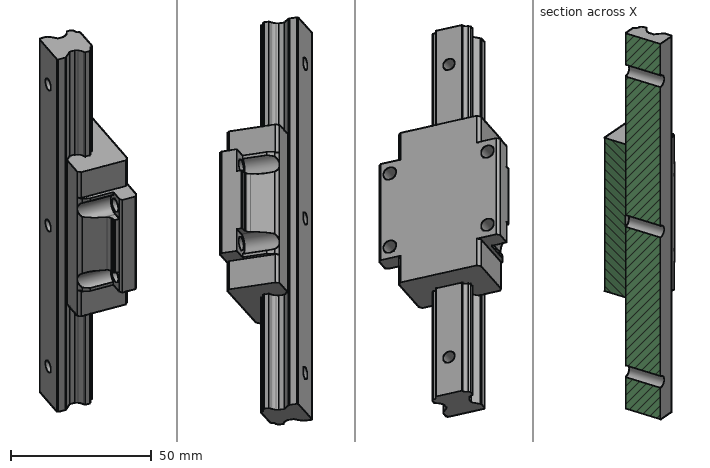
import cadquery as cq
import math

RAIL_LENGTH = 150.0
RAIL_HALF_WIDTH = 7.5
RAIL_HEIGHT = 15.0
RAIL_BASE_CHAMFER = 0.5
RAIL_HOLE_DIAMETER = 4.5
RAIL_HOLE_PITCH = 60.0
RAIL_HOLE_COUNT = 3

BASE_FLANK_TOP = 3.2
BASE_EDGE_BREAK_WIDTH = 0.3
BASE_EDGE_BREAK_HEIGHT = 0.6
WAIST_HALF_WIDTH = 4.8
WAIST_BOTTOM = 6.2
WAIST_TOP = 8.2
LOWER_GROOVE_START = (5.2, 9.2)
LOWER_GROOVE_MIDDLE = (5.8, 9.9)
LOWER_GROOVE_END = (6.8, 10.5)
HEAD_FLANK_BOTTOM = 11.0
HEAD_FLANK_TOP = 12.8
HEAD_TOP_HALF_WIDTH = 5.2
UPPER_GROOVE_START = (6.8, 13.5)
UPPER_GROOVE_MIDDLE = (5.7, 13.8)
UPPER_GROOVE_END = (HEAD_TOP_HALF_WIDTH, 14.5)
HEAD_TOP_CHAMFER = 0.3

CARRIAGE_LENGTH = 61.4
CARRIAGE_TOP = 24.0
BLOCK_LENGTH = 39.5
CARRIAGE_BOTTOM = 4.2
BLOCK_BOTTOM_HALF_WIDTH = 15.3
WEB_BOTTOM = (16.6, 5.4)
WEB_FILLET_RADIUS = 1.6

CAP_HALF_WIDTH = 32.0 / 2
CAP_TOP_CHAMFER = 1.2
CAP_BOTTOM_CHAMFER = 1.2
CAP_BOTTOM_CHAMFER_WIDTH = 0.9

FLANGE_HALF_WIDTH = 47.0 / 2
FLANGE_TOP_CHAMFER = 1.0
FLANGE_UNDERSIDE = 15.2
UNDERSIDE_STEP = 0.3
UNDERSIDE_STEP_X = 21.0
FLANGE_EDGE_CHAMFER = 0.5
BOSS_FACE = 17.2
RELIEF_HALF_WIDTH = 22.5
RELIEF_CHAMFER_HEIGHT = 0.8

BOLT_DIAMETER = 5.0
BOLT_SPACING_X = 38.0
BOLT_SPACING_Z = 30.0
SEAT_RADIUS = 3.8
SEAT_OUTER_WALL_X = 17.5


def mirrored(points):
    return [(-x, y) for x, y in points]


def extrude_centred(sketch, length):
    """Extrude an XY sketch symmetrically about Z = 0."""
    return sketch.extrude(length / 2, both=True)


def box_between(x_range, y_range, z_range):
    sizes = [max(r) - min(r) for r in (x_range, y_range, z_range)]
    corner = [min(r) for r in (x_range, y_range, z_range)]
    return cq.Workplane("XY").box(*sizes, centered=False).translate(tuple(corner))


def cylinder_along_y(x, z, radius, y_start, y_end):
    solid = cq.Solid.makeCylinder(
        radius, y_end - y_start, cq.Vector(x, y_start, z), cq.Vector(0, 1, 0)
    )
    return cq.Workplane(solid)


def rail_bar():
    """Plain rail bar without its bolt holes."""
    base = RAIL_HALF_WIDTH - RAIL_BASE_CHAMFER
    half = (
        cq.Workplane("XY")
        .moveTo(0, 0)
        .lineTo(base, 0)
        .lineTo(RAIL_HALF_WIDTH, RAIL_BASE_CHAMFER)
        .lineTo(RAIL_HALF_WIDTH, BASE_FLANK_TOP)
        .lineTo(RAIL_HALF_WIDTH - BASE_EDGE_BREAK_WIDTH, BASE_FLANK_TOP + BASE_EDGE_BREAK_HEIGHT)
        .lineTo(WAIST_HALF_WIDTH, WAIST_BOTTOM)
        .lineTo(WAIST_HALF_WIDTH, WAIST_TOP)
        .lineTo(*LOWER_GROOVE_START)
        .threePointArc(LOWER_GROOVE_MIDDLE, LOWER_GROOVE_END)
        .lineTo(RAIL_HALF_WIDTH, HEAD_FLANK_BOTTOM)
        .lineTo(RAIL_HALF_WIDTH, HEAD_FLANK_TOP)
        .lineTo(*UPPER_GROOVE_START)
        .threePointArc(UPPER_GROOVE_MIDDLE, UPPER_GROOVE_END)
        .lineTo(HEAD_TOP_HALF_WIDTH, RAIL_HEIGHT - HEAD_TOP_CHAMFER)
        .lineTo(HEAD_TOP_HALF_WIDTH - HEAD_TOP_CHAMFER, RAIL_HEIGHT)
        .lineTo(0, RAIL_HEIGHT)
        .close()
    )
    right_half = extrude_centred(half, RAIL_LENGTH)
    return right_half.union(right_half.mirror("YZ")).clean()


def make_rail():
    rail = rail_bar()
    for index in range(RAIL_HOLE_COUNT):
        z = (index - (RAIL_HOLE_COUNT - 1) / 2) * RAIL_HOLE_PITCH
        rail = rail.cut(cylinder_along_y(0, z, RAIL_HOLE_DIAMETER / 2, 0, RAIL_HEIGHT))
    return rail


def block_half(side, relieved):
    """Half of the flanged block; side is +1 or -1 along X."""
    fillet_top = FLANGE_UNDERSIDE - UNDERSIDE_STEP
    fillet_centre = (UNDERSIDE_STEP_X, fillet_top - WEB_FILLET_RADIUS)
    to_centre_x = fillet_centre[0] - WEB_BOTTOM[0]
    to_centre_y = fillet_centre[1] - WEB_BOTTOM[1]
    distance = math.hypot(to_centre_x, to_centre_y)
    web_angle = math.atan2(to_centre_y, to_centre_x) + math.asin(WEB_FILLET_RADIUS / distance)
    tangent_angle = web_angle + math.pi / 2
    middle_angle = (tangent_angle + math.pi / 2) / 2

    def on_fillet(angle):
        return (
            fillet_centre[0] + WEB_FILLET_RADIUS * math.cos(angle),
            fillet_centre[1] + WEB_FILLET_RADIUS * math.sin(angle),
        )

    edge_x = RELIEF_HALF_WIDTH if relieved else FLANGE_HALF_WIDTH
    sketch = (
        cq.Workplane("XY")
        .moveTo(0, CARRIAGE_BOTTOM)
        .lineTo(BLOCK_BOTTOM_HALF_WIDTH, CARRIAGE_BOTTOM)
        .lineTo(*WEB_BOTTOM)
        .lineTo(*on_fillet(tangent_angle))
        .threePointArc(on_fillet(middle_angle), (UNDERSIDE_STEP_X, fillet_top))
        .lineTo(UNDERSIDE_STEP_X, FLANGE_UNDERSIDE)
        .lineTo(edge_x - FLANGE_EDGE_CHAMFER, FLANGE_UNDERSIDE)
        .lineTo(edge_x, FLANGE_UNDERSIDE + FLANGE_EDGE_CHAMFER)
    )
    if relieved:
        sketch = sketch.lineTo(edge_x, BOSS_FACE)
        sketch = sketch.lineTo(FLANGE_HALF_WIDTH, BOSS_FACE + RELIEF_CHAMFER_HEIGHT)
    sketch = (
        sketch.lineTo(FLANGE_HALF_WIDTH, CARRIAGE_TOP - FLANGE_TOP_CHAMFER)
        .lineTo(FLANGE_HALF_WIDTH - FLANGE_TOP_CHAMFER, CARRIAGE_TOP)
        .lineTo(0, CARRIAGE_TOP)
        .close()
    )
    half = extrude_centred(sketch, BLOCK_LENGTH)
    return half if side > 0 else half.mirror("YZ")


def cut_bolt_seat(block, side, end):
    """Bolt hole, with the flange underside cut back around it to a flat seat."""
    bolt_x = BOLT_SPACING_X / 2
    bolt_z = BOLT_SPACING_Z / 2
    depth = (0, BOSS_FACE)
    x_end = FLANGE_HALF_WIDTH
    z_end = BLOCK_LENGTH / 2
    cutters = (
        cylinder_along_y(side * bolt_x, end * bolt_z, SEAT_RADIUS, *depth),
        box_between(
            (side * bolt_x, side * x_end), depth, (end * (bolt_z - SEAT_RADIUS), end * z_end)
        ),
        box_between((side * SEAT_OUTER_WALL_X, side * x_end), depth, (end * bolt_z, end * z_end)),
        cylinder_along_y(side * bolt_x, end * bolt_z, BOLT_DIAMETER / 2, 0, CARRIAGE_TOP),
    )
    for cutter in cutters:
        block = block.cut(cutter)
    return block


def end_cap(end):
    right_outline = [
        (CAP_HALF_WIDTH - CAP_BOTTOM_CHAMFER_WIDTH, CARRIAGE_BOTTOM),
        (CAP_HALF_WIDTH, CARRIAGE_BOTTOM + CAP_BOTTOM_CHAMFER),
        (CAP_HALF_WIDTH, CARRIAGE_TOP - CAP_TOP_CHAMFER),
        (CAP_HALF_WIDTH - CAP_TOP_CHAMFER, CARRIAGE_TOP),
    ]
    outline = right_outline + mirrored(reversed(right_outline))
    cap_length = (CARRIAGE_LENGTH - BLOCK_LENGTH) / 2
    return (
        cq.Workplane("XY")
        .workplane(offset=end * BLOCK_LENGTH / 2)
        .polyline(outline)
        .close()
        .extrude(end * cap_length)
    )


def make_carriage():
    carriage = block_half(-1, relieved=False).union(block_half(1, relieved=True))
    for side in (-1, 1):
        for end in (-1, 1):
            carriage = cut_bolt_seat(carriage, side, end)
    for end in (-1, 1):
        carriage = carriage.union(end_cap(end))
    return carriage.cut(rail_bar())


rail = make_rail()
carriage = make_carriage()

result = cq.Compound.makeCompound([rail.val(), carriage.val()])